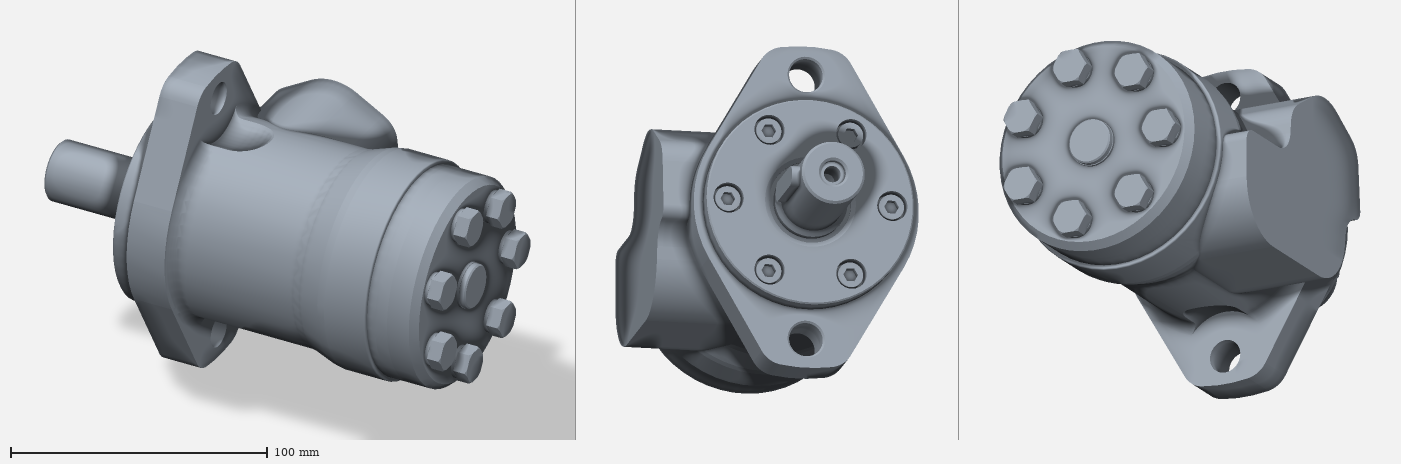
import cadquery as cq
import math


PILOT_X = 46.0
FLANGE_X = 54.2
BARREL_X = 71.0
HOUSING_END_X = 159.7
PLATE_END_X = 163.3
GEAR_END_X = 168.5
COVER_END_X = 181.1
HEAD_END_X = 188.3

PILOT_R = 82.5 / 2
PILOT_CHAMFER = 0.5
FLANGE_SIDE_R = 44.8
FLANGE_TIP_R = 129.7 / 2
FLANGE_SLANT = 30
FLANGE_CORNER_R = 10.5
MOUNT_HOLE_D = 13.4
MOUNT_HOLE_CHAMFER = 0.8
MOUNT_HOLE_Z = 53.3
RELIEF_R = 18.5
RELIEF_LENGTH = 9.8

BARREL_R = 40.5
BARREL_FILLET = 4.3
CONE_START_X = 127.1
CONE_END_X = 140.0
CONE_BLEND_R = 10.4
COLLAR_R = 44.8
COLLAR_ROUND = 0.5

BLOCK_Y = 55.2
HUMP_X = 92.36
HUMP_TOP_Z = 37.8
HUMP_TOP_R = 20.1
HUMP_SLOPE = 30
HUMP_SHOULDER_R = 12.5
HUMP_SHOULDER_X = 22.0
DRAFT = 5
BLOCK_FOOT_Z = 0.4
BLOCK_FOOT_R = 4.5
FOOT_END_ANGLE = 80
LEFT_HOLLOW_R = 10.4
LOWER_DRAFT = 8
LOWER_WALL = 5.0
LOWER_R = 22.2
LEDGE_Z = 5.3
RIGHT_HOLLOW_R = 10.0
BLOCK_END_X = 157.6
BLOCK_END_R = 5.3

SCREW_COUNT = 6
SCREW_CIRCLE_R = 32.5
SCREW_BORE_D = 12.0
SCREW_BORE_DEPTH = 7.5
SCREW_HEAD_D = 10.0
SCREW_HEAD_SETBACK = 1.5
SCREW_SOCKET_WIDTH = 5.0
SCREW_SOCKET_DEPTH = 3.0

SHAFT_D = 25.0
SHAFT_CHAMFER = 1.0
SHOULDER_D = 29.0
SHOULDER_X = 42.5
RECESS_D = 32.5
RECESS_DEPTH = 1.5
RECESS_MOUTH_D = 36.2
RECESS_MOUTH_DEPTH = 0.8
CENTRE_MOUTH_D = 11.9
CENTRE_BORE_D = 10.0
CENTRE_BORE_DEPTH = 3.0
CENTRE_HOLE_D = 6.5
CENTRE_HOLE_DEPTH = 15.0
DRILL_ANGLE = 118
KEY_X = 4.9
KEY_LENGTH = 32.2
KEY_WIDTH = 8.0
KEY_TOP_Y = 15.6
KEY_HEIGHT = 7.0

REAR_R = 86.0 / 2
COVER_BEVEL_X = 3.0
COVER_BEVEL_R = 2.8
BOLT_COUNT = 7
BOLT_CIRCLE_R = 32.0
WASHER_D = 13.4
WASHER_THICKNESS = 1.5
HEAD_WIDTH = 13.0
HEAD_CHAMFER = 0.8
PLUG_D = 18.0
PLUG_END_X = 185.0
PLUG_CHAMFER = 0.5
PLUG_COLLAR_D = 18.6
PLUG_COLLAR_THICKNESS = 1.1


def cylinder_x(diameter, start, end, y=0.0, z=0.0):
    """Round bar along X between two X positions."""
    plane = cq.Workplane("YZ", origin=(start, y, z))
    return plane.circle(diameter / 2).extrude(end - start)


def across_corners(across_flats):
    """Corner-to-corner width of a hexagon."""
    return across_flats / math.cos(math.radians(30))


def hexagon_x(width, start, end, y, z):
    """Hexagonal bar along X with its corners toward +Y and -Y; width is across flats."""
    plane = cq.Workplane("YZ", origin=(start, y, z))
    return plane.polygon(6, across_corners(width)).extrude(end - start)


def revolve_about_x(profile):
    """Turn a profile drawn in XY around the X axis."""
    return profile.revolve(360, (0, 0, 0), (1, 0, 0))


def circle_points(count, radius):
    """(y, z) places evenly spread on a circle, the first one toward +Y."""
    angles = [2 * math.pi * i / count for i in range(count)]
    return [(radius * math.cos(a), radius * math.sin(a)) for a in angles]


def make_flange():
    slant = math.radians(FLANGE_SLANT)
    side_y = FLANGE_SIDE_R / math.cos(slant)
    tip_z = FLANGE_SIDE_R / math.sin(slant)
    thickness = BARREL_X - FLANGE_X
    diamond = (
        cq.Workplane("YZ", origin=(FLANGE_X, 0, 0))
        .polyline([(side_y, 0), (0, tip_z), (-side_y, 0), (0, -tip_z)])
        .close()
        .extrude(thickness)
    )
    diamond = diamond.edges("|X and (>Y or <Y)").fillet(FLANGE_SIDE_R)
    flange = diamond.intersect(cylinder_x(2 * FLANGE_TIP_R, FLANGE_X, BARREL_X))
    tip_corners = cq.selectors.BoxSelector(
        (FLANGE_X, -FLANGE_SIDE_R / 2, -FLANGE_TIP_R), (BARREL_X, FLANGE_SIDE_R / 2, FLANGE_TIP_R)
    )
    return flange.edges("|X").edges(tip_corners).fillet(FLANGE_CORNER_R)


def make_barrel():
    profile = (
        cq.Workplane("XY")
        .moveTo(FLANGE_X, 0)
        .lineTo(FLANGE_X, BARREL_R)
        .lineTo(BARREL_X, BARREL_R)
        .lineTo(BARREL_X, BARREL_R + BARREL_FILLET)
        .radiusArc((BARREL_X + BARREL_FILLET, BARREL_R), -BARREL_FILLET)
        .lineTo(CONE_START_X, BARREL_R)
        .lineTo(CONE_END_X, COLLAR_R)
        .lineTo(HOUSING_END_X, COLLAR_R)
        .lineTo(HOUSING_END_X, 0)
        .close()
    )
    barrel = revolve_about_x(profile)
    reach = 2 * COLLAR_R
    margin = (CONE_END_X - CONE_START_X) / 2
    cone_zone = cq.selectors.BoxSelector(
        (CONE_START_X - margin, -reach, -reach), (CONE_END_X + margin, reach, reach)
    )
    barrel = barrel.edges("%CIRCLE").edges(cone_zone).fillet(CONE_BLEND_R)
    return barrel.faces(">X").edges().fillet(COLLAR_ROUND)


def on_arc(centre, radius, degrees):
    """Point on a circle in the XZ plane, at an angle counted from +X toward +Z."""
    angle = math.radians(degrees)
    return (centre[0] + radius * math.cos(angle), centre[1] + radius * math.sin(angle))


def arc_centre(point, radius, degrees):
    """Centre of the circle that has the given point at the given angle."""
    return on_arc(point, radius, degrees + 180)


def make_port_block():
    roof_left = 90 + HUMP_SLOPE
    roof_right = 90 - HUMP_SLOPE
    wall_left = 180 - DRAFT
    wall_right = DRAFT
    foot_end = 180 + FOOT_END_ANGLE
    lower_wall = 180 + LOWER_DRAFT

    top_centre = (HUMP_X, HUMP_TOP_Z - HUMP_TOP_R)
    top_left = on_arc(top_centre, HUMP_TOP_R, roof_left)
    top_right = on_arc(top_centre, HUMP_TOP_R, roof_right)
    roof_run = HUMP_SHOULDER_X - (HUMP_X - top_left[0])
    shoulder_z = top_left[1] - roof_run * math.tan(math.radians(HUMP_SLOPE))
    shoulder_left = (HUMP_X - HUMP_SHOULDER_X, shoulder_z)
    shoulder_right = (HUMP_X + HUMP_SHOULDER_X, shoulder_z)
    left_centre = arc_centre(shoulder_left, HUMP_SHOULDER_R, roof_left)
    right_centre = arc_centre(shoulder_right, HUMP_SHOULDER_R, roof_right)
    wall_left_top = on_arc(left_centre, HUMP_SHOULDER_R, wall_left)
    wall_right_top = on_arc(right_centre, HUMP_SHOULDER_R, wall_right)

    wall_drop = wall_left_top[1] - BLOCK_FOOT_Z
    foot = (wall_left_top[0] - wall_drop * math.tan(math.radians(DRAFT)), BLOCK_FOOT_Z)
    foot_centre = arc_centre(foot, BLOCK_FOOT_R, wall_left)
    foot_tip = on_arc(foot_centre, BLOCK_FOOT_R, foot_end)
    left_hollow_centre = on_arc(foot_tip, LEFT_HOLLOW_R, foot_end)
    lower_top = on_arc(left_hollow_centre, LEFT_HOLLOW_R, lower_wall - 180)
    lower_bottom = (lower_top[0] + LOWER_WALL * math.tan(math.radians(LOWER_DRAFT)), lower_top[1] - LOWER_WALL)
    lower_centre = arc_centre(lower_bottom, LOWER_R, lower_wall)
    bottom_left = on_arc(lower_centre, LOWER_R, 270)

    hollow_start_z = LEDGE_Z + RIGHT_HOLLOW_R * (1 - math.sin(math.radians(wall_right)))
    wall_run = (wall_right_top[1] - hollow_start_z) * math.tan(math.radians(DRAFT))
    hollow_start = (wall_right_top[0] + wall_run, hollow_start_z)
    right_hollow_centre = on_arc(hollow_start, RIGHT_HOLLOW_R, wall_right)
    ledge_start = on_arc(right_hollow_centre, RIGHT_HOLLOW_R, 270)
    end_centre = (BLOCK_END_X - BLOCK_END_R, LEDGE_Z - BLOCK_END_R)
    corner_centre = (BLOCK_END_X - LOWER_R, lower_centre[1])
    bottom_right = on_arc(corner_centre, LOWER_R, 270)

    outline = (
        cq.Workplane("XZ")
        .moveTo(*top_left)
        .threePointArc(on_arc(top_centre, HUMP_TOP_R, 90), top_right)
        .lineTo(*shoulder_right)
        .threePointArc(on_arc(right_centre, HUMP_SHOULDER_R, (roof_right + wall_right) / 2), wall_right_top)
        .lineTo(*hollow_start)
        .threePointArc(on_arc(right_hollow_centre, RIGHT_HOLLOW_R, 225), ledge_start)
        .lineTo(end_centre[0], LEDGE_Z)
        .threePointArc(on_arc(end_centre, BLOCK_END_R, 45), (BLOCK_END_X, end_centre[1]))
        .lineTo(BLOCK_END_X, corner_centre[1])
        .threePointArc(on_arc(corner_centre, LOWER_R, 315), bottom_right)
        .lineTo(*bottom_left)
        .threePointArc(on_arc(lower_centre, LOWER_R, 225), lower_bottom)
        .lineTo(*lower_top)
        .threePointArc(on_arc(left_hollow_centre, LEFT_HOLLOW_R, 45), foot_tip)
        .threePointArc(on_arc(foot_centre, BLOCK_FOOT_R, (wall_left + foot_end) / 2), foot)
        .lineTo(*wall_left_top)
        .threePointArc(on_arc(left_centre, HUMP_SHOULDER_R, (roof_left + wall_left) / 2), shoulder_left)
        .close()
    )
    return outline.extrude(-BLOCK_Y)


def make_relief(z):
    """Round-ended clearance pocket behind the mounting hole at the given height."""
    ball_x = BARREL_X + RELIEF_LENGTH
    ball_centre = (ball_x, z)
    profile = (
        cq.Workplane("XZ")
        .moveTo(BARREL_X, z)
        .lineTo(BARREL_X, z + RELIEF_R)
        .lineTo(ball_x, z + RELIEF_R)
        .threePointArc(on_arc(ball_centre, RELIEF_R, 45), (ball_x + RELIEF_R, z))
        .close()
    )
    return profile.revolve(360, (BARREL_X, z, 0), (ball_x, z, 0))


def make_mounting_hole(z):
    """Hole through the flange with a chamfered front mouth."""
    hole_r = MOUNT_HOLE_D / 2
    mouth = (
        cq.Workplane("YZ", origin=(FLANGE_X, 0, z))
        .circle(hole_r + MOUNT_HOLE_CHAMFER)
        .workplane(offset=MOUNT_HOLE_CHAMFER)
        .circle(hole_r)
        .loft()
    )
    return cylinder_x(MOUNT_HOLE_D, FLANGE_X, BARREL_X, z=z).union(mouth)


def add_screws(body):
    """Sunk socket-head screws in the pilot face."""
    head_x = PILOT_X + SCREW_HEAD_SETBACK
    bore_end = PILOT_X + SCREW_BORE_DEPTH
    for y, z in circle_points(SCREW_COUNT, SCREW_CIRCLE_R):
        head = cylinder_x(SCREW_HEAD_D, head_x, bore_end, y, z)
        socket = hexagon_x(SCREW_SOCKET_WIDTH, head_x, head_x + SCREW_SOCKET_DEPTH, y, z)
        body = body.cut(cylinder_x(SCREW_BORE_D, PILOT_X, bore_end, y, z))
        body = body.union(head.cut(socket))
    return body


def cut_shaft_bore(body):
    profile = (
        cq.Workplane("XY")
        .moveTo(PILOT_X, 0)
        .lineTo(PILOT_X, RECESS_MOUTH_D / 2)
        .lineTo(PILOT_X + RECESS_MOUTH_DEPTH, RECESS_D / 2)
        .lineTo(PILOT_X + RECESS_DEPTH, RECESS_D / 2)
        .lineTo(PILOT_X + RECESS_DEPTH, SHOULDER_D / 2)
        .lineTo(BARREL_X, SHOULDER_D / 2)
        .lineTo(BARREL_X, 0)
        .close()
    )
    return body.cut(revolve_about_x(profile))


def make_housing():
    pilot = cylinder_x(2 * PILOT_R, PILOT_X, FLANGE_X).faces("<X").edges().chamfer(PILOT_CHAMFER)
    body = make_barrel().union(make_flange()).union(pilot).union(make_port_block())
    for z in (MOUNT_HOLE_Z, -MOUNT_HOLE_Z):
        body = body.cut(make_relief(z)).cut(make_mounting_hole(z))
    body = cut_shaft_bore(body)
    return add_screws(body)


def make_key():
    key = cq.Workplane("XZ", origin=(KEY_X + KEY_LENGTH / 2, KEY_TOP_Y, 0))
    return key.slot2D(KEY_LENGTH, KEY_WIDTH).extrude(KEY_HEIGHT)


def make_shaft(key):
    shoulder_r = SHOULDER_D / 2
    shaft_r = SHAFT_D / 2
    hole_r = CENTRE_HOLE_D / 2
    mouth_depth = (CENTRE_MOUTH_D - CENTRE_BORE_D) / 2
    hole_tip = CENTRE_HOLE_DEPTH + hole_r / math.tan(math.radians(DRILL_ANGLE / 2))
    profile = (
        cq.Workplane("XY")
        .moveTo(hole_tip, 0)
        .lineTo(CENTRE_HOLE_DEPTH, hole_r)
        .lineTo(CENTRE_BORE_DEPTH, hole_r)
        .lineTo(CENTRE_BORE_DEPTH, CENTRE_BORE_D / 2)
        .lineTo(mouth_depth, CENTRE_BORE_D / 2)
        .lineTo(0, CENTRE_MOUTH_D / 2)
        .lineTo(0, shaft_r - SHAFT_CHAMFER)
        .lineTo(SHAFT_CHAMFER, shaft_r)
        .lineTo(SHOULDER_X, shaft_r)
        .lineTo(SHOULDER_X + shoulder_r - shaft_r, shoulder_r)
        .lineTo(BARREL_X, shoulder_r)
        .lineTo(BARREL_X, 0)
        .close()
    )
    return revolve_about_x(profile).cut(key)


def make_bolt_head(y, z):
    head_x = COVER_END_X + WASHER_THICKNESS
    washer = cylinder_x(WASHER_D, COVER_END_X, head_x, y, z)
    head = hexagon_x(HEAD_WIDTH, head_x, HEAD_END_X, y, z)
    bevel = cylinder_x(across_corners(HEAD_WIDTH), head_x, HEAD_END_X, y, z)
    bevel = bevel.faces(">X").edges().chamfer(HEAD_CHAMFER)
    return washer.union(head.intersect(bevel))


def make_end_cover():
    profile = (
        cq.Workplane("XY")
        .moveTo(GEAR_END_X, 0)
        .lineTo(GEAR_END_X, REAR_R)
        .lineTo(COVER_END_X - COVER_BEVEL_X, REAR_R)
        .lineTo(COVER_END_X, REAR_R - COVER_BEVEL_R)
        .lineTo(COVER_END_X, 0)
        .close()
    )
    plug = cylinder_x(PLUG_D, COVER_END_X, PLUG_END_X).faces(">X").edges().chamfer(PLUG_CHAMFER)
    collar = cylinder_x(PLUG_COLLAR_D, COVER_END_X, COVER_END_X + PLUG_COLLAR_THICKNESS)
    cover = revolve_about_x(profile).union(plug).union(collar)
    for y, z in circle_points(BOLT_COUNT, BOLT_CIRCLE_R):
        cover = cover.union(make_bolt_head(y, z))
    return cover


housing = make_housing()
key = make_key()
shaft = make_shaft(key)
spacer_plate = cylinder_x(2 * REAR_R, HOUSING_END_X, PLATE_END_X)
gear_ring = cylinder_x(2 * REAR_R, PLATE_END_X, GEAR_END_X)
end_cover = make_end_cover()

bodies = [housing, shaft, key, spacer_plate, gear_ring, end_cover]
result = cq.Compound.makeCompound([body.val() for body in bodies])